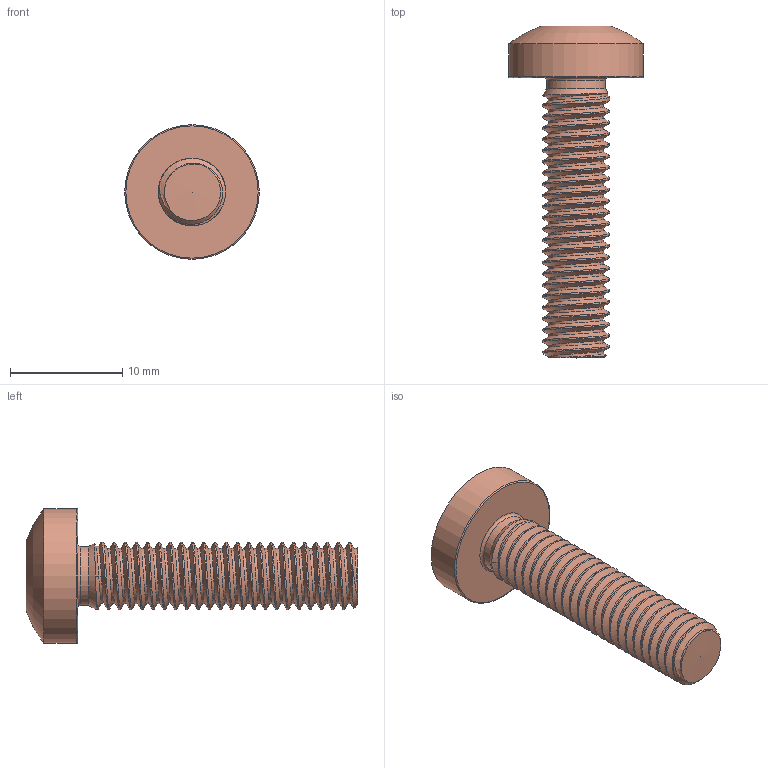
import cadquery as cq
import math


head_radius = 6.0
head_height = 4.6
dome_radius = 9.75
crown_flat_radius = 3.05
head_edge_radius = 0.1

shank_length = 25.0
thread_radius = 3.0
neck_length = 1.0
neck_radius = 2.63
runout_length = 0.65
underhead_fillet = 0.25
tip_radius = 2.55
tip_cone_height = 0.04

pitch = 1.0
flank_angle = math.radians(30)
sharp_height = pitch / 2 / math.tan(flank_angle)
root_radius = thread_radius - 5 / 8 * sharp_height
root_width = pitch / 4
groove_overrun = 0.1
full_groove_depth = 2.0
fade_turns = 0.75
cylinder_angle = 360


def dome_height(radius):
    """Height of the head's sphere above the sphere centre at a given radius."""
    return math.sqrt(dome_radius**2 - radius**2)


def make_blank():
    """Revolve head, neck and unthreaded shank in one profile."""
    dome_centre = head_height - dome_height(crown_flat_radius)
    rim_height = dome_centre + dome_height(head_radius)
    dome_mid_radius = (crown_flat_radius + head_radius) / 2
    dome_mid_height = dome_centre + dome_height(dome_mid_radius)
    tip_chamfer = thread_radius - tip_radius
    tip_rim = -shank_length + tip_cone_height
    arc_inset = 1 - math.sqrt(0.5)
    fillet_mid = underhead_fillet * arc_inset
    edge_mid = head_edge_radius * arc_inset

    profile = (
        cq.Workplane("XZ")
        .moveTo(0, head_height)
        .lineTo(crown_flat_radius, head_height)
        .threePointArc((dome_mid_radius, dome_mid_height), (head_radius, rim_height))
        .lineTo(head_radius, head_edge_radius)
        .threePointArc((head_radius - edge_mid, edge_mid), (head_radius - head_edge_radius, 0))
        .lineTo(neck_radius + underhead_fillet, 0)
        .threePointArc((neck_radius + fillet_mid, -fillet_mid), (neck_radius, -underhead_fillet))
        .lineTo(neck_radius, -neck_length)
        .lineTo(thread_radius, -neck_length - runout_length)
        .lineTo(thread_radius, tip_rim + tip_chamfer)
        .lineTo(tip_radius, tip_rim)
        .lineTo(0, -shank_length)
        .close()
    )
    return profile.revolve(360, (0, 0), (0, 1))


def sweep_groove(turns, start_depth, flare_angle=cylinder_angle):
    """Sweep the V section up a right-hand helix from start_depth on the -X side.

    A flare angle leads the groove out of the shank along a cone.
    """
    outer_radius = thread_radius + groove_overrun
    half_root = root_width / 2
    half_mouth = half_root + (outer_radius - root_radius) * math.tan(flank_angle)
    start = -start_depth

    slant_pitch = pitch / math.cos(math.radians(flare_angle))
    base = cq.Vector(0, 0, start)
    helix = cq.Wire.makeHelix(slant_pitch, turns * slant_pitch, root_radius, base, angle=flare_angle)
    section = (
        cq.Workplane("XZ")
        .moveTo(root_radius, start - half_root)
        .lineTo(outer_radius, start - half_mouth)
        .lineTo(outer_radius, start + half_mouth)
        .lineTo(root_radius, start + half_root)
        .close()
    )
    groove = section.sweep(cq.Workplane(obj=helix), isFrenet=True)
    return groove.rotate((0, 0, 0), (0, 0, 1), 180)


def cut_thread(blank):
    """Cut the full-depth thread through the tip, then its fading lead-out at the neck."""
    turns = math.ceil((shank_length - full_groove_depth) / pitch) + 1
    full_groove = sweep_groove(turns, full_groove_depth + turns * pitch)
    fade_rise = fade_turns * pitch
    fade_angle = math.degrees(math.atan2(thread_radius - root_radius, fade_rise))
    fade_groove = sweep_groove(fade_turns, full_groove_depth, fade_angle)
    return blank.cut(full_groove).cut(fade_groove)


result = cut_thread(make_blank()).rotate((0, 0, 0), (1, 0, 0), -90)